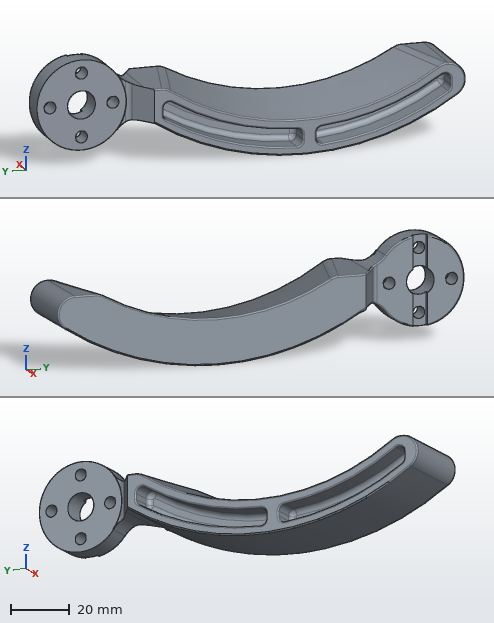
import cadquery as cq
import math

disc_radius = 16.0
disc_thickness = 8.9
bore_radius = 5.0
bolt_hole_radius = 2.1
bolt_circle_radius = 11.3
bolt_count = 4
groove_width = 5.3
groove_depth = 1.5

arm_width = 28.0
overall_length = 151
overall_height = 37.9
arm_top = 6.0
tip_radius = 6.2
outer_radius = 100.0

seat_radius_left = 87.4
seat_radius_right = 83.5
seat_edge_fillet = 5.7

neck_blend_radius = 10.0
neck_relief = 0.5
flare_start = -16.9
flare_fillet = 2.3

pocket_inner_radius = 90.6
pocket_outer_radius = 96.9
pocket_depth = 9.4
pocket_disc_end = -26.3
pocket_rib_centre = -79.0
pocket_rib_width = 4.7
pocket_tip_end = -129.8
pocket_corner_fillet = 2.3
pocket_floor_fillet = 2.0

edge_fillet = 0.5

pick_margin = 0.2

half_width = arm_width / 2
plate_half = disc_thickness / 2
tip_y = disc_radius - overall_length + tip_radius
tip_z = arm_top - tip_radius
curve_z = disc_radius - overall_height + outer_radius
curve_y = tip_y + math.sqrt((outer_radius - tip_radius) ** 2 - (curve_z - tip_z) ** 2)
flare_end = curve_y + math.sqrt(outer_radius ** 2 - (curve_z + arm_top) ** 2)


def point_on(centre_y, centre_z, radius, angle):
    """Point of a circle in the YZ plane, angle measured from +Y towards +Z."""
    return centre_y + radius * math.cos(angle), centre_z + radius * math.sin(angle)


def point_on_curve(radius, y):
    """Point at the given Y on the lower half of a circle about the arm's centre of curvature."""
    return y, curve_z - math.sqrt(radius ** 2 - (y - curve_y) ** 2)


def side_profile():
    """Neck and arm outline seen along X."""
    blend_z = arm_top + neck_blend_radius
    blend_y = -math.sqrt((disc_radius + neck_blend_radius) ** 2 - blend_z ** 2)
    to_disc = math.atan2(-blend_z, -blend_y)
    to_flat = -math.pi / 2
    blend_start = point_on(blend_y, blend_z, neck_blend_radius, to_disc)
    blend_middle = point_on(blend_y, blend_z, neck_blend_radius, (to_disc + to_flat) / 2)

    tip_angle = math.atan2(tip_z - curve_z, tip_y - curve_y)
    tip_end = point_on(tip_y, tip_z, tip_radius, tip_angle)
    tip_middle = point_on(tip_y, tip_z, tip_radius, math.pi)

    return (
        cq.Workplane("YZ")
        .moveTo(*blend_start)
        .threePointArc(blend_middle, (blend_y, arm_top))
        .lineTo(tip_y, arm_top)
        .threePointArc(tip_middle, tip_end)
        .threePointArc((curve_y, curve_z - outer_radius), (flare_end, -arm_top))
        .lineTo(blend_y, -arm_top)
        .threePointArc((blend_middle[0], -blend_middle[1]), (blend_start[0], -blend_start[1]))
        .close()
        .extrude(half_width, both=True)
    )


def plan_profile():
    """Arm and neck outline seen along Z, flaring from the neck to the full width."""
    far_end = -overall_length
    left = -plate_half - neck_relief
    right = plate_half
    return (
        cq.Workplane("XY")
        .polyline([
            (left, 0), (left, flare_start), (-half_width, flare_end),
            (-half_width, far_end), (half_width, far_end),
            (half_width, flare_end), (right, flare_start), (right, 0),
        ])
        .close()
        .extrude(overall_height, both=True)
        .edges(cq.selectors.BoxSelector(
            (left - pick_margin, flare_start - pick_margin, -pick_margin),
            (right + pick_margin, flare_start + pick_margin, pick_margin)))
        .fillet(flare_fillet)
    )


def x_cylinder(radius, x_start, length):
    """Cylinder along X; a negative length runs towards -X."""
    return cq.Workplane("YZ", origin=(x_start, 0, 0)).circle(radius).extrude(length)


def seat_cutter():
    """Cone about the arm's centre of curvature, narrowing towards +X."""
    return (
        cq.Workplane("XY")
        .polyline([
            (-half_width, 0), (-half_width, seat_radius_left),
            (half_width, seat_radius_right), (half_width, 0),
        ])
        .close()
        .revolve(360, (0, 0), (1, 0))
        .translate((0, curve_y, curve_z))
    )


def pocket(start_y, end_y):
    """Curved blind pocket between two Y positions, with rounded corners and floor."""
    middle_y = (start_y + end_y) / 2
    return (
        cq.Workplane("YZ", origin=(-half_width, 0, 0))
        .moveTo(*point_on_curve(pocket_inner_radius, start_y))
        .threePointArc(point_on_curve(pocket_inner_radius, middle_y),
                       point_on_curve(pocket_inner_radius, end_y))
        .lineTo(*point_on_curve(pocket_outer_radius, end_y))
        .threePointArc(point_on_curve(pocket_outer_radius, middle_y),
                       point_on_curve(pocket_outer_radius, start_y))
        .close()
        .extrude(pocket_depth)
        .edges("|X").fillet(pocket_corner_fillet)
        .faces(">X").edges().fillet(pocket_floor_fillet)
    )


arm = side_profile().intersect(plan_profile())
arm = arm.cut(x_cylinder(disc_radius, -plate_half, -half_width))
arm = arm.cut(seat_cutter())
seat_edges = cq.selectors.BoxSelector(
    (-pick_margin, tip_y + pick_margin, arm_top - pick_margin),
    (pick_margin, flare_end - pick_margin, arm_top + pick_margin))
arm = arm.edges(seat_edges).fillet(seat_edge_fillet)

body = arm.union(x_cylinder(disc_radius, -plate_half, disc_thickness))

body = body.faces("<X").edges("not |Z").fillet(edge_fillet)
right_side = cq.selectors.BoxSelector(
    (plate_half - pick_margin, -overall_length, -overall_height),
    (half_width + pick_margin, overall_length, overall_height))
right_outline = body.edges(right_side).edges("not |Z").add(body.faces(">X").edges("|Z"))
result = right_outline.fillet(edge_fillet)

result = result.cut(x_cylinder(bore_radius, -half_width, arm_width))
bolt_holes = (
    cq.Workplane("YZ", origin=(-half_width, 0, 0))
    .polarArray(bolt_circle_radius, 0, 360, bolt_count)
    .circle(bolt_hole_radius)
    .extrude(arm_width)
)
result = result.cut(bolt_holes)
groove = cq.Workplane("XY").box(groove_depth, groove_width, 2 * disc_radius)
result = result.cut(groove.translate((plate_half - groove_depth / 2, 0, 0)))

pocket_spans = [
    (pocket_disc_end, pocket_rib_centre + pocket_rib_width / 2),
    (pocket_rib_centre - pocket_rib_width / 2, pocket_tip_end),
]
for span in pocket_spans:
    result = result.cut(pocket(*span))
side_face = result.faces("<X").val()
rim_edges = [edge for rim in side_face.innerWires() for edge in rim.Edges()]
result = result.newObject(rim_edges).fillet(edge_fillet)